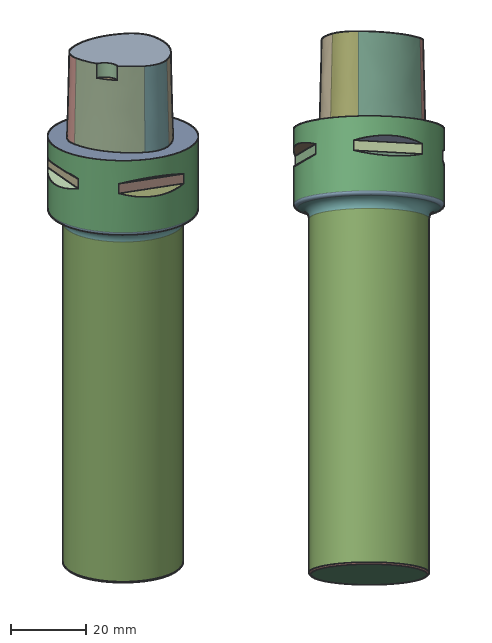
import cadquery as cq
import math

shank_radius = 16.0
total_height = 144.0
end_chamfer = 0.5

collar_radius = 20.0
collar_height = 21.15
neck_fillet = 3.0
collar_round = collar_radius - shank_radius - neck_fillet

coupling_height = 24.0
taper = 1 / 20
lobe_center_radius = 6.6
lobe_radius_at_base = 8.4
lobe_spacing = 120
lobe_angles = [90 + lobe_spacing * index for index in range(3)]
lobe_half_span = 30

notch_radius = 3.5
notch_inner_y = -10.9
notch_height = 4.0

groove_angles = (45, 135, 225, 315)
groove_center_z = -7.85
groove_floor_distance = 17.6
groove_floor_height = 2.7
groove_flank_angle = 30

shank_bottom_z = coupling_height - total_height


def polar(radius, angle):
    """Point in the XY plane at a radius and an angle in degrees."""
    turn = math.radians(angle)
    return radius * math.cos(turn), radius * math.sin(turn)


def make_body():
    """Collar, concave neck and shank as one turned profile."""
    round_offset = collar_round * math.sqrt(0.5)
    round_middle = (
        collar_radius - collar_round + round_offset,
        -collar_height + collar_round - round_offset,
    )
    neck_offset = neck_fillet * (1 - math.sqrt(0.5))
    neck_middle = (shank_radius + neck_offset, -collar_height - neck_offset)
    profile = (
        cq.Workplane("XZ")
        .lineTo(collar_radius, 0)
        .lineTo(collar_radius, -collar_height + collar_round)
        .threePointArc(round_middle, (shank_radius + neck_fillet, -collar_height))
        .threePointArc(neck_middle, (shank_radius, -collar_height - neck_fillet))
        .lineTo(shank_radius, shank_bottom_z + end_chamfer)
        .lineTo(shank_radius - end_chamfer, shank_bottom_z)
        .lineTo(0, shank_bottom_z)
        .close()
    )
    return profile.revolve(360, (0, 0), (0, 1))


def lobed_wire(lobe_radius, z):
    """Rounded Reuleaux outline: three lobe arcs joined by three tangent flank arcs."""
    flank_radius = lobe_radius + lobe_center_radius * math.sqrt(3)

    def arc_point(center_angle, radius, direction):
        center_x, center_y = polar(lobe_center_radius, center_angle)
        offset_x, offset_y = polar(radius, direction)
        return cq.Vector(center_x + offset_x, center_y + offset_y, z)

    edges = []
    for angle in lobe_angles:
        lobe_start = arc_point(angle, lobe_radius, angle - lobe_half_span)
        lobe_middle = arc_point(angle, lobe_radius, angle)
        lobe_end = arc_point(angle, lobe_radius, angle + lobe_half_span)
        opposite = angle + 2 * lobe_spacing
        flank_middle = arc_point(opposite, flank_radius, opposite + 180)
        next_angle = angle + lobe_spacing
        next_start = arc_point(next_angle, lobe_radius, next_angle - lobe_half_span)
        edges.append(cq.Edge.makeThreePointArc(lobe_start, lobe_middle, lobe_end))
        edges.append(cq.Edge.makeThreePointArc(lobe_end, flank_middle, next_start))
    return cq.Wire.assembleEdges(edges)


def make_coupling():
    """Tapered lobed coupling with its orientation notch."""
    lobe_radius_at_top = lobe_radius_at_base - taper * coupling_height / 2
    base = lobed_wire(lobe_radius_at_base, 0)
    top = lobed_wire(lobe_radius_at_top, coupling_height)
    coupling = cq.Workplane(cq.Solid.makeLoft([base, top], True))
    notch = (
        cq.Workplane("XY", origin=(0, notch_inner_y - notch_radius, coupling_height - notch_height))
        .circle(notch_radius)
        .extrude(notch_height)
    )
    return coupling.cut(notch)


def make_groove(angle):
    """Straight groove with a flat floor and sloping flanks, facing the given angle."""
    half_floor = groove_floor_height / 2
    depth = collar_radius - groove_floor_distance
    half_mouth = half_floor + depth * math.tan(math.radians(groove_flank_angle))
    return (
        cq.Workplane("XZ", origin=(0, 0, groove_center_z))
        .moveTo(groove_floor_distance, -half_floor)
        .lineTo(collar_radius, -half_mouth)
        .lineTo(collar_radius, half_mouth)
        .lineTo(groove_floor_distance, half_floor)
        .close()
        .extrude(collar_radius, both=True)
        .rotate((0, 0, 0), (0, 0, 1), angle)
    )


result = make_body().union(make_coupling())
for groove_angle in groove_angles:
    result = result.cut(make_groove(groove_angle))